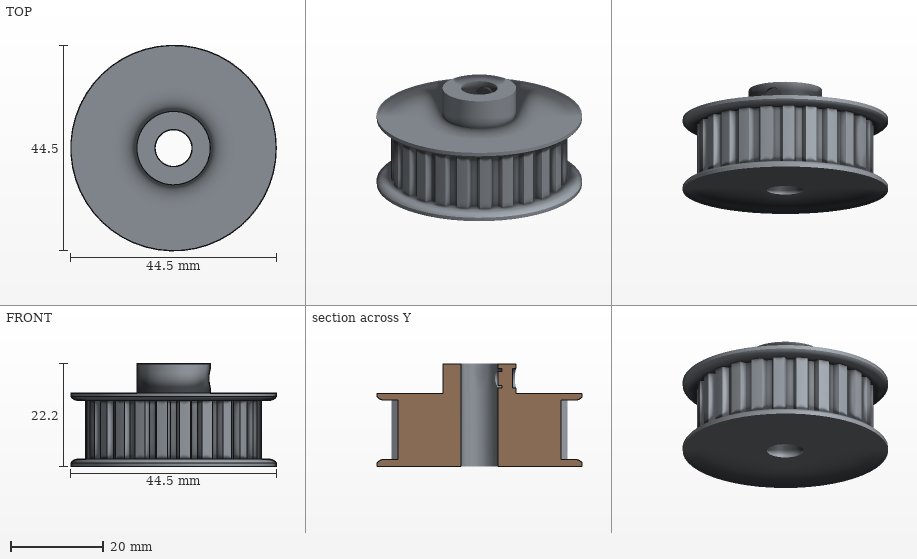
import math

import cadquery as cq

FLANGE_DIAMETER = 44.45
FLANGE_THICKNESS = 1.5875
RIM_ROUND_WIDTH = FLANGE_THICKNESS
RIM_ROUND_HEIGHT = FLANGE_THICKNESS / 2
BELT_WIDTH = 12.7
HUB_DIAMETER = 15.875
HUB_HEIGHT = 6.35
BORE_DIAMETER = 7.9375

TOOTH_COUNT = 24
TOOTH_TIP_DIAMETER = 38.15
GROOVE_DEPTH = 1.4
GROOVE_FLOOR_WIDTH = 1.35
GROOVE_FLANK_ANGLE = 25.0

SCREW_DIAMETER = 4.1
SCREW_LENGTH = 3.175
SCREW_TIP_DIAMETER = 3.175
SCREW_TIP_LENGTH = 0.8

UPPER_FLANGE_BASE = FLANGE_THICKNESS + BELT_WIDTH
BODY_HEIGHT = UPPER_FLANGE_BASE + FLANGE_THICKNESS
TOTAL_HEIGHT = BODY_HEIGHT + HUB_HEIGHT
SCREW_HEIGHT = BODY_HEIGHT + HUB_HEIGHT / 2


def make_flange():
    """Disc on Z = 0 whose upper rim is an arc running tangentially into the upper face."""
    rim_radius = FLANGE_DIAMETER / 2
    face_radius = rim_radius - RIM_ROUND_WIDTH
    arc_radius = (RIM_ROUND_WIDTH**2 + RIM_ROUND_HEIGHT**2) / (2 * RIM_ROUND_HEIGHT)
    return (
        cq.Workplane("XZ")
        .lineTo(rim_radius, 0)
        .lineTo(rim_radius, FLANGE_THICKNESS - RIM_ROUND_HEIGHT)
        .radiusArc((face_radius, FLANGE_THICKNESS), -arc_radius)
        .lineTo(0, FLANGE_THICKNESS)
        .close()
        .revolve(360, (0, 0, 0), (0, 1, 0))
    )


def make_groove():
    """Trapezoidal belt groove on the +X side, running the full belt width."""
    floor_x = TOOTH_TIP_DIAMETER / 2 - GROOVE_DEPTH
    mouth_x = TOOTH_TIP_DIAMETER / 2 + GROOVE_DEPTH
    floor_y = GROOVE_FLOOR_WIDTH / 2
    mouth_y = floor_y + (mouth_x - floor_x) * math.tan(math.radians(GROOVE_FLANK_ANGLE))
    return (
        cq.Workplane("XY", origin=(0, 0, FLANGE_THICKNESS))
        .polyline([(floor_x, -floor_y), (mouth_x, -mouth_y), (mouth_x, mouth_y), (floor_x, floor_y)])
        .close()
        .extrude(BELT_WIDTH)
    )


def make_toothed_drum():
    """Drum between the flanges with evenly spaced belt grooves, one centred on +X."""
    drum = (
        cq.Workplane("XY", origin=(0, 0, FLANGE_THICKNESS))
        .circle(TOOTH_TIP_DIAMETER / 2)
        .extrude(BELT_WIDTH)
    )
    groove = make_groove()
    for index in range(TOOTH_COUNT):
        angle = index * 360 / TOOTH_COUNT
        drum = drum.cut(groove.rotate((0, 0, 0), (0, 0, 1), angle))
    return drum


def make_hub():
    """Plain cylindrical hub on top of the upper flange."""
    return (
        cq.Workplane("XY", origin=(0, 0, BODY_HEIGHT))
        .circle(HUB_DIAMETER / 2)
        .extrude(HUB_HEIGHT)
    )


def make_bore():
    """Shaft bore through the full height."""
    return cq.Workplane("XY").circle(BORE_DIAMETER / 2).extrude(TOTAL_HEIGHT)


def make_radial_cylinder(diameter, start_x, length):
    """Cylinder along +X at mid-height of the hub."""
    return (
        cq.Workplane("YZ", origin=(start_x, 0, SCREW_HEIGHT))
        .circle(diameter / 2)
        .extrude(length)
    )


def make_set_screw_hole():
    """Radial hole from the pulley axis out through the +X side of the hub."""
    return make_radial_cylinder(SCREW_DIAMETER, 0, HUB_DIAMETER / 2)


def make_set_screw():
    """Set screw filling its hole, with a narrower flat tip that reaches the bore radius."""
    tip_x = BORE_DIAMETER / 2
    body_length = SCREW_LENGTH - SCREW_TIP_LENGTH
    tip = make_radial_cylinder(SCREW_TIP_DIAMETER, tip_x, SCREW_TIP_LENGTH)
    body = make_radial_cylinder(SCREW_DIAMETER, tip_x + SCREW_TIP_LENGTH, body_length)
    return body.union(tip)


lower_flange = make_flange()
upper_flange = lower_flange.mirror("XY").translate((0, 0, BODY_HEIGHT))

result = (
    make_toothed_drum()
    .union(lower_flange)
    .union(upper_flange)
    .union(make_hub())
    .cut(make_bore())
    .cut(make_set_screw_hole())
    .union(make_set_screw())
)